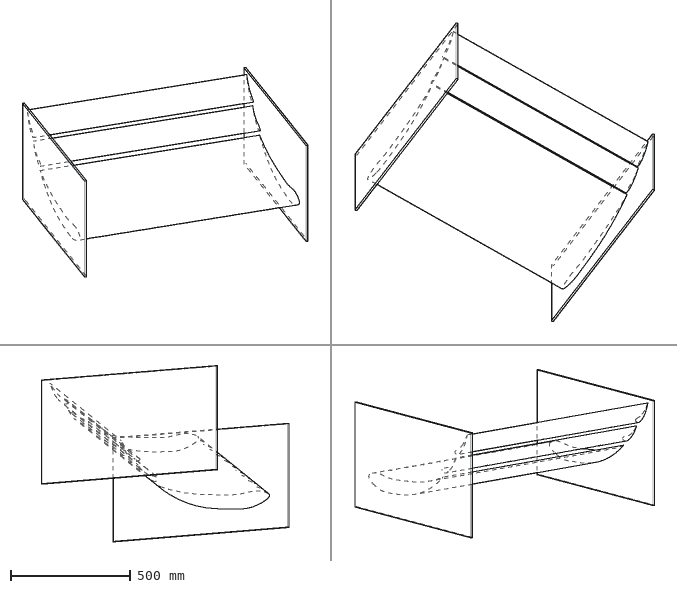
import cadquery as cq


plate_length = 775.0
plate_height = 450.0
plate_thickness = 9.0
plate_edge_radius = 4.4
overall_span = 996.0
inner_span = overall_span - 2 * plate_thickness

top_flap_trailing_edge = (37.0, 435.0)
top_flap_upper = [(61.0, 396.0), (88.0, 370.0), (113.0, 355.0)]
top_flap_nose = (120.0, 347.0)
top_flap_lower = [(108.0, 340.0), (85.0, 350.0), (59.0, 380.0)]

middle_flap_trailing_edge = (112.0, 324.0)
middle_flap_upper = [(134.0, 294.0), (164.0, 274.0), (198.0, 261.0)]
middle_flap_nose = (206.0, 253.0)
middle_flap_lower = [(192.0, 246.0), (164.0, 255.0), (133.0, 285.0)]

main_trailing_edge = (197.0, 226.0)
main_upper = [(276.0, 196.0), (369.0, 175.0), (464.0, 164.0), (571.0, 161.0), (655.0, 165.0)]
main_nose = (690.0, 146.0)
main_lower = [(649.0, 112.0), (538.0, 97.0), (398.0, 116.0), (279.0, 165.0)]


def make_end_plate(y_center):
    """Upright plate whose two vertical end edges are rounded."""
    plate = cq.Workplane("XY").box(plate_length, plate_thickness, plate_height)
    plate = plate.edges("|Z").fillet(plate_edge_radius)
    return plate.translate((plate_length / 2, y_center, plate_height / 2))


def make_wing(trailing_edge, upper, nose, lower):
    """Cambered wing with a round nose, reaching from plate to plate."""
    outline = [trailing_edge, *upper, nose, *lower, trailing_edge]
    profile = cq.Workplane("XZ", origin=(0, inner_span / 2, 0)).spline(outline).close()
    return profile.extrude(inner_span)


plate_y = (overall_span - plate_thickness) / 2
end_plates = [make_end_plate(y) for y in (-plate_y, plate_y)]

top_flap = make_wing(top_flap_trailing_edge, top_flap_upper, top_flap_nose, top_flap_lower)
middle_flap = make_wing(
    middle_flap_trailing_edge, middle_flap_upper, middle_flap_nose, middle_flap_lower
)
main_wing = make_wing(main_trailing_edge, main_upper, main_nose, main_lower)

result = cq.Compound.makeCompound([
    *[plate.val() for plate in end_plates],
    top_flap.val(),
    middle_flap.val(),
    main_wing.val(),
])